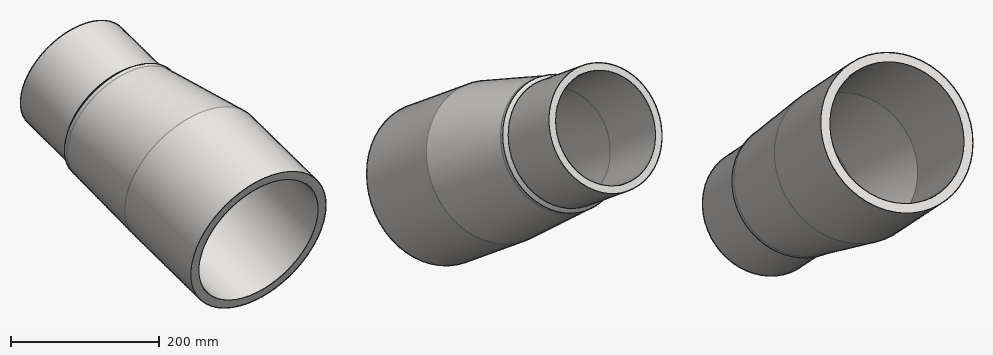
import cadquery as cq

total_length = 399.0
large_diameter = 225.0
large_bore = 198.5
small_diameter = 180.0
small_bore = 159.0
collar_diameter = 190.7

collar_start = 103.5
chamfer_length = 5.0
cone_start = 114.5
cone_end = 247.5

small_axis_y = -(large_diameter - collar_diameter) / 2


def section(x, y, diameter):
    """Circle normal to X, centred at (x, y, 0)."""
    return cq.Wire.makeCircle(diameter / 2, cq.Vector(x, y, 0), cq.Vector(1, 0, 0))


def pipe(x_start, x_end, y, diameter):
    """Solid cylinder along X between two stations."""
    return cq.Workplane("YZ", origin=(x_start, y, 0)).circle(diameter / 2).extrude(x_end - x_start)


def loft(start, end):
    """Ruled solid between two circular sections."""
    return cq.Workplane(obj=cq.Solid.makeLoft([start, end], True))


def outside():
    chamfer_end = collar_start + chamfer_length
    small_pipe = pipe(0, collar_start, small_axis_y, small_diameter)
    chamfer = loft(
        section(collar_start, small_axis_y, small_diameter),
        section(chamfer_end, small_axis_y, collar_diameter),
    )
    collar = pipe(chamfer_end, cone_start, small_axis_y, collar_diameter)
    cone = loft(
        section(cone_start, small_axis_y, collar_diameter),
        section(cone_end, 0, large_diameter),
    )
    large_pipe = pipe(cone_end, total_length, 0, large_diameter)
    return small_pipe.union(chamfer).union(collar).union(cone).union(large_pipe)


def bore():
    small_passage = pipe(0, cone_start, small_axis_y, small_bore)
    taper = loft(
        section(cone_start, small_axis_y, small_bore),
        section(cone_end, 0, large_bore),
    )
    large_passage = pipe(cone_end, total_length, 0, large_bore)
    return small_passage.union(taper).union(large_passage)


result = outside().cut(bore())